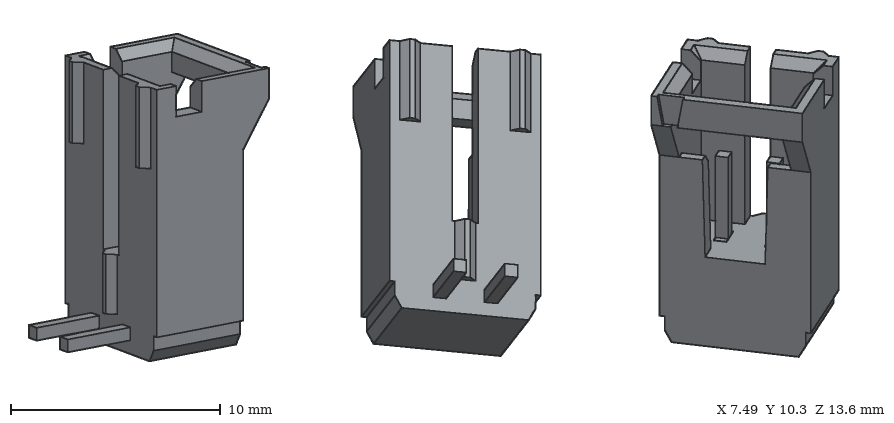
import cadquery as cq


width = 7.49
height = 13.59
body_depth = 5.09
flare = 1.51
mouth_depth = body_depth + flare
mouth_height = 1.52
flare_start = 9.8
mouth_bottom = height - mouth_height

shoulder_height = 1.32
shoulder_inset = 0.26
foot_chamfer_run = 0.34
foot_chamfer_rise = 0.6

side_wall = 0.97
end_wall = 1.02
lead_in = 0.51
floor_level = 4.69
cavity_width = width - 2 * side_wall

slot_width = 1.27
notch_front = 1.14
notch_length = 1.51
back_opening_top = 3.24
back_opening_bottom = 2.97
back_wall_bevel = 0.52

rib_base = 1.02
rib_tip = 0.27
rib_depth = 0.4
rib_spacing = 5.46
upper_rib_length = 4.02
lower_rib_bottom = 1.73

mark_x = 2.81
mark_top = 1.27
mark_bottom = 0.74
mark_depth = 0.25

pitch = 2.54
pin = 0.64
pin_level = 0.69
pin_reach = 3.68
post_front = 2.22
post_top = 9.0
shoulder_front = 1.96
shoulder_length = 1.22
shoulder_rise = 0.02


def box(x_size, y_start, y_end, z_start, z_end, x_centre=0):
    """Block centred on x_centre, between two y and two z limits."""
    block = cq.Workplane("XY").box(x_size, y_end - y_start, z_end - z_start, centered=(True, False, False))
    return block.translate((x_centre, y_start, z_start))


def make_housing():
    """Solid block with the flared back and the chamfered foot."""
    profile = [
        (0, 0),
        (body_depth, 0),
        (body_depth, flare_start),
        (mouth_depth, mouth_bottom),
        (mouth_depth, height),
        (0, height),
    ]
    side_shape = cq.Workplane("YZ").polyline(profile).close().extrude(width / 2, both=True)
    foot_half = width / 2 - shoulder_inset
    toe_half = foot_half - foot_chamfer_run
    outline = [
        (toe_half, 0),
        (foot_half, foot_chamfer_rise),
        (foot_half, shoulder_height),
        (width / 2, shoulder_height),
        (width / 2, height),
        (-width / 2, height),
        (-width / 2, shoulder_height),
        (-foot_half, shoulder_height),
        (-foot_half, foot_chamfer_rise),
        (-toe_half, 0),
    ]
    front_shape = cq.Workplane("XZ").polyline(outline).close().extrude(-mouth_depth)
    return side_shape.intersect(front_shape)


def make_cavity():
    """Well that leaves the back wall standing up to the start of the flare, with a bevelled mouth."""
    inner_back = body_depth - end_wall
    bevel_bottom = flare_start - back_wall_bevel
    profile = [
        (end_wall, floor_level),
        (inner_back, floor_level),
        (inner_back, bevel_bottom),
        (inner_back + back_wall_bevel, flare_start),
        (mouth_depth, flare_start),
        (mouth_depth, mouth_bottom),
        (mouth_depth - end_wall, mouth_bottom),
        (mouth_depth - end_wall, height),
        (end_wall, height),
    ]
    well = cq.Workplane("YZ").polyline(profile).close().extrude(cavity_width / 2, both=True)
    inner_length = mouth_depth - 2 * end_wall
    mouth = (
        cq.Workplane("XY", origin=(0, mouth_depth / 2, height - lead_in))
        .rect(cavity_width, inner_length)
        .workplane(offset=lead_in)
        .rect(cavity_width + 2 * lead_in, inner_length + 2 * lead_in)
        .loft(ruled=True)
    )
    return well.union(mouth)


def make_back_opening():
    """Opening through the back wall, with drafted sides that narrow towards the floor."""
    outline = [
        (-back_opening_bottom / 2, floor_level),
        (back_opening_bottom / 2, floor_level),
        (back_opening_top / 2, flare_start),
        (-back_opening_top / 2, flare_start),
    ]
    opening = cq.Workplane("XZ", origin=(0, body_depth, 0)).polyline(outline).close()
    return opening.extrude(end_wall)


def make_mark():
    """Tapered recess in the back face of the mouth."""
    outline = [
        (mark_x - mark_top / 2, height),
        (mark_x + mark_top / 2, height),
        (mark_x + mark_bottom / 2, mouth_bottom),
        (mark_x - mark_bottom / 2, mouth_bottom),
    ]
    return cq.Workplane("XZ", origin=(0, mouth_depth, 0)).polyline(outline).close().extrude(mark_depth)


def make_rib(x_centre, bottom, top):
    """Upright rib of trapezoidal section on the front face."""
    section = [
        (x_centre - rib_base / 2, 0),
        (x_centre - rib_tip / 2, -rib_depth),
        (x_centre + rib_tip / 2, -rib_depth),
        (x_centre + rib_base / 2, 0),
    ]
    return cq.Workplane("XY", origin=(0, 0, bottom)).polyline(section).close().extrude(top - bottom)


def make_contact(x_centre):
    """Right-angle contact: a leg out of the front face and a post standing in the cavity."""
    leg = box(pin, -pin_reach, post_front + pin, pin_level, pin_level + pin, x_centre)
    post = box(pin, post_front, post_front + pin, pin_level, post_top, x_centre)
    shoulder_back = shoulder_front + shoulder_length
    shoulder = box(pin, shoulder_front, shoulder_back, pin_level, floor_level + shoulder_rise, x_centre)
    return leg.union(post).union(shoulder)


result = make_housing().cut(make_cavity()).cut(make_back_opening()).cut(make_mark())
result = result.cut(box(slot_width, 0, end_wall, floor_level, height))
result = result.cut(box(width, notch_front, notch_front + notch_length, mouth_bottom, height))

for side in (-1, 1):
    result = result.union(make_rib(side * rib_spacing / 2, height - upper_rib_length, height))
result = result.union(make_rib(0, lower_rib_bottom, floor_level))

for side in (-1, 1):
    result = result.union(make_contact(side * pitch / 2))